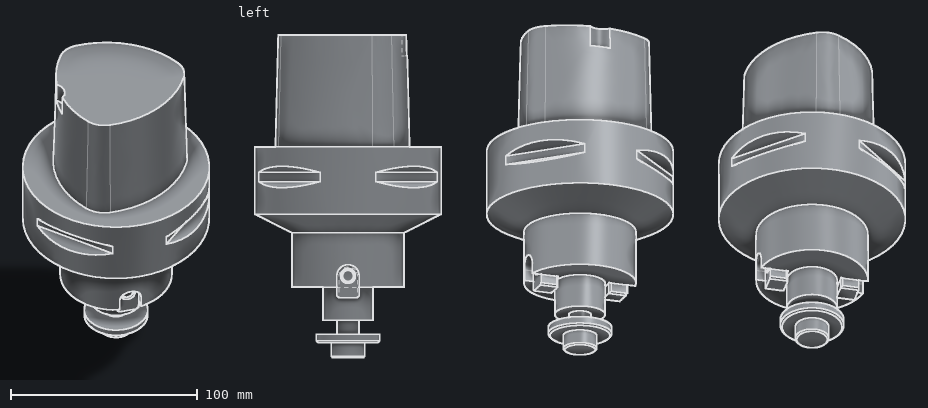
import cadquery as cq
import math

shank_height = 60.0
shank_corner_reach = 39.0
shank_flank_reach = 33.0
shank_corner_radius = 14.7
shank_taper_angle = math.degrees(math.atan(1 / 40))
shank_notch_diameter = 14.5
shank_notch_depth = 11.2
shank_notch_center_y = -36.0

flange_diameter = 100.0
flange_height = 36.0
cone_height = 10.0
spigot_diameter = 60.0
spigot_height = 29.0
pilot_diameter = 27.0
pilot_height = 17.8

neck_diameter = 12.0
neck_height = 7.3
collar_diameter = 34.0
collar_height = 4.7
collar_chamfer = 1.0
screw_end_diameter = 18.0
screw_end_height = 8.1
screw_end_chamfer = 0.9

groove_count = 4
groove_first_angle = 45
groove_length = 46.5
groove_center_z = -16.1
groove_floor_width = 4.8
groove_wall_angle = 30

key_width = 12.0
key_inner_x = 14.5
key_outer_x = 24.4
key_overhang = 5.7
key_chamfer = 1.0
key_screw_height = 6.0
screw_hole_diameter = 8.0
screw_head_diameter = 7.0
screw_hole_depth = 4.0
screw_head_recess = 0.7
screw_head_chamfer = 0.5

flange_bottom = -flange_height
cone_bottom = flange_bottom - cone_height
spigot_bottom = cone_bottom - spigot_height
pilot_bottom = spigot_bottom - pilot_height
neck_bottom = pilot_bottom - neck_height
collar_bottom = neck_bottom - collar_height
screw_end_bottom = collar_bottom - screw_end_height


def polar(radius, angle):
    a = math.radians(angle)
    return radius * math.cos(a), radius * math.sin(a)


def make_shank():
    corner_center = shank_corner_reach - shank_corner_radius
    reach_gap = shank_flank_reach - shank_corner_radius
    flank_center = (corner_center**2 - reach_gap**2) / (2 * reach_gap - corner_center)
    flank_radius = flank_center + shank_flank_reach
    corner_x = corner_center
    center_x, center_y = polar(flank_center, -120)
    tangent_direction = math.degrees(math.atan2(-center_y, corner_x - center_x))
    offset_x, offset_y = polar(flank_radius, tangent_direction)
    tangent_x = center_x + offset_x
    tangent_y = center_y + offset_y
    tangent_radius = math.hypot(tangent_x, tangent_y)
    half_corner = math.degrees(math.atan2(tangent_y, tangent_x))

    outline = cq.Workplane("XY").moveTo(*polar(tangent_radius, 90 - half_corner))
    for corner_angle in (90, 210, 330):
        outline = outline.threePointArc(
            polar(shank_corner_reach, corner_angle),
            polar(tangent_radius, corner_angle + half_corner),
        )
        outline = outline.threePointArc(
            polar(shank_flank_reach, corner_angle + 60),
            polar(tangent_radius, corner_angle + 120 - half_corner),
        )
    shank = outline.close().extrude(shank_height, taper=shank_taper_angle)
    notch = (
        cq.Workplane("XY", origin=(0, shank_notch_center_y, shank_height))
        .circle(shank_notch_diameter / 2)
        .extrude(-shank_notch_depth)
    )
    return shank.cut(notch)


def make_body():
    profile = [
        (0, 0),
        (flange_diameter / 2, 0),
        (flange_diameter / 2, flange_bottom),
        (spigot_diameter / 2, cone_bottom),
        (spigot_diameter / 2, spigot_bottom),
        (pilot_diameter / 2, spigot_bottom),
        (pilot_diameter / 2, pilot_bottom),
        (neck_diameter / 2, pilot_bottom),
        (neck_diameter / 2, neck_bottom),
        (collar_diameter / 2, neck_bottom),
        (collar_diameter / 2, collar_bottom + collar_chamfer),
        (collar_diameter / 2 - collar_chamfer, collar_bottom),
        (screw_end_diameter / 2, collar_bottom),
        (screw_end_diameter / 2, screw_end_bottom + screw_end_chamfer),
        (screw_end_diameter / 2 - screw_end_chamfer, screw_end_bottom),
        (0, screw_end_bottom),
    ]
    return cq.Workplane("XZ").polyline(profile).close().revolve(360, (0, 0), (0, 1))


def make_groove(angle):
    flange_radius = flange_diameter / 2
    floor_x = math.sqrt(flange_radius**2 - (groove_length / 2) ** 2)
    floor_half = groove_floor_width / 2
    mouth_half = floor_half + (flange_radius - floor_x) * math.tan(math.radians(groove_wall_angle))
    section = [
        (floor_x, groove_center_z - floor_half),
        (flange_radius, groove_center_z - mouth_half),
        (flange_radius, groove_center_z + mouth_half),
        (floor_x, groove_center_z + floor_half),
    ]
    groove = cq.Workplane("XZ").polyline(section).close().extrude(groove_length / 2, both=True)
    return groove.rotate((0, 0, 0), (0, 0, 1), angle)


def round_top_block(inner_x, outer_x, bottom):
    half_width = key_width / 2
    arc_z = spigot_bottom + key_screw_height
    return (
        cq.Workplane("YZ", origin=(inner_x, 0, 0))
        .moveTo(-half_width, bottom)
        .lineTo(half_width, bottom)
        .lineTo(half_width, arc_z)
        .threePointArc((0, arc_z + half_width), (-half_width, arc_z))
        .close()
        .extrude(outer_x - inner_x)
    )


def make_key():
    key = round_top_block(key_inner_x, key_outer_x, spigot_bottom - key_overhang)
    inner_edges = key.faces("<X").edges("|Z")
    bottom_edges = key.faces("<Z").edges("|X")
    key = inner_edges.add(bottom_edges).chamfer(key_chamfer)
    hole = (
        cq.Workplane("YZ", origin=(key_outer_x, 0, spigot_bottom + key_screw_height))
        .circle(screw_hole_diameter / 2)
        .extrude(-screw_hole_depth)
    )
    head = (
        cq.Workplane("YZ", origin=(key_outer_x - screw_hole_depth, 0, spigot_bottom + key_screw_height))
        .circle(screw_head_diameter / 2)
        .extrude(screw_hole_depth - screw_head_recess)
        .faces(">X")
        .chamfer(screw_head_chamfer)
    )
    return key.cut(hole.cut(head))


result = make_body().union(make_shank())

for index in range(groove_count):
    result = result.cut(make_groove(groove_first_angle + index * 360 / groove_count))

key_slot = round_top_block(key_inner_x, spigot_diameter / 2, spigot_bottom)
drive_key = make_key()
for side_angle in (0, 180):
    result = result.cut(key_slot.rotate((0, 0, 0), (0, 0, 1), side_angle))
    result = result.union(drive_key.rotate((0, 0, 0), (0, 0, 1), side_angle))